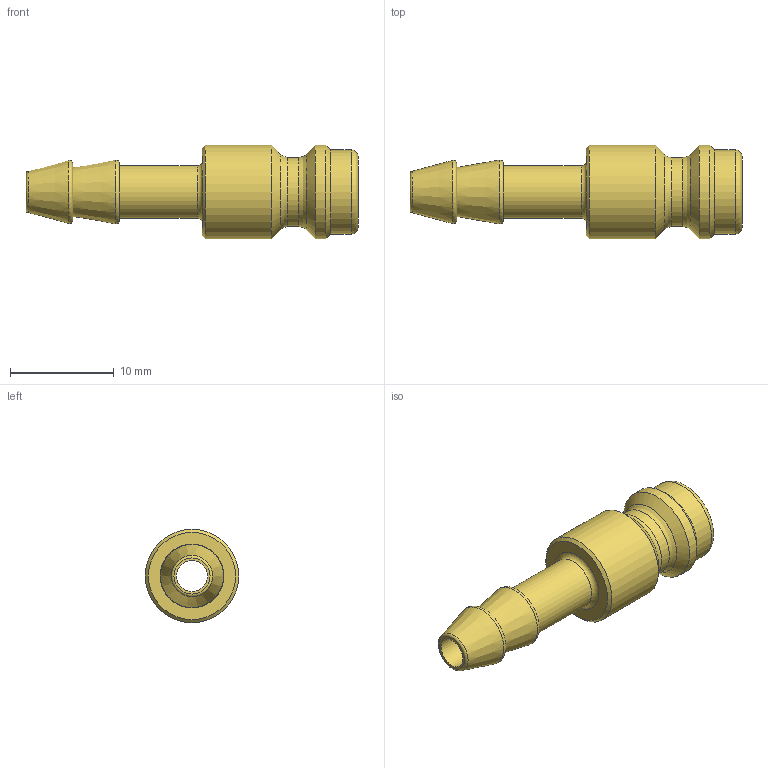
import cadquery as cq
import math


total_length = 32.0
bore_diameter = 3.0

barb_pitch = 4.5
barb_crest_radius = 3.15
tip_cone_angle = 15.0
second_cone_angle = 10.0
crest_fillet = 0.35
tip_fillet = 0.27

stem_radius = 5.05 / 2
stem_fillet = 0.5

collar_radius = 9.0 / 2
collar_start = 17.0
collar_end = 23.65
collar_chamfer = 0.3
groove_radius = 6.65 / 2
groove_fillet = 1.0
rim_start = 27.9
rim_end = 29.35

plug_radius = 8.1 / 2
plug_fillet = 0.65

first_crest_x = barb_pitch
second_crest_x = 2 * barb_pitch
tip_radius = barb_crest_radius - barb_pitch * math.tan(math.radians(tip_cone_angle))
barb_root_radius = barb_crest_radius - barb_pitch * math.tan(math.radians(second_cone_angle))
groove_depth = collar_radius - groove_radius
groove_start = collar_end + groove_depth
groove_end = rim_start - groove_depth
rim_chamfer = collar_radius - plug_radius


def make_turned_body():
    """Revolve the sharp-cornered half profile, given as (x, radius) points."""
    profile = [
        (0, 0),
        (0, tip_radius),
        (first_crest_x, barb_crest_radius),
        (first_crest_x, barb_root_radius),
        (second_crest_x, barb_crest_radius),
        (second_crest_x, stem_radius),
        (collar_start, stem_radius),
        (collar_start, collar_radius - collar_chamfer),
        (collar_start + collar_chamfer, collar_radius),
        (collar_end, collar_radius),
        (groove_start, groove_radius),
        (groove_end, groove_radius),
        (rim_start, collar_radius),
        (rim_end - rim_chamfer, collar_radius),
        (rim_end, plug_radius),
        (total_length, plug_radius),
        (total_length, 0),
    ]
    return cq.Workplane("XY").polyline(profile).close().revolve(360, (0, 0, 0), (1, 0, 0))


def round_circular_edge(body, x, edge_radius, fillet_radius):
    """Fillet the circular edge of the given radius lying at the given X."""
    tolerance = 1e-4

    def is_wanted(edge):
        return (
            edge.geomType() == "CIRCLE"
            and abs(edge.Center().x - x) < tolerance
            and abs(edge.radius() - edge_radius) < tolerance
        )

    return body.edges().filter(is_wanted).fillet(fillet_radius)


def round_corners(body):
    """Round the barbs, the stem root, the groove floor and the plug end."""
    rounded_edges = [
        (0, tip_radius, tip_fillet),
        (first_crest_x, barb_crest_radius, crest_fillet),
        (second_crest_x, barb_crest_radius, crest_fillet),
        (collar_start, stem_radius, stem_fillet),
        (groove_start, groove_radius, groove_fillet),
        (groove_end, groove_radius, groove_fillet),
        (total_length, plug_radius, plug_fillet),
    ]
    for x, edge_radius, fillet_radius in rounded_edges:
        body = round_circular_edge(body, x, edge_radius, fillet_radius)
    return body


def make_bore():
    """Through bore along the axis."""
    return cq.Workplane("YZ").circle(bore_diameter / 2).extrude(total_length)


result = round_corners(make_turned_body()).cut(make_bore())